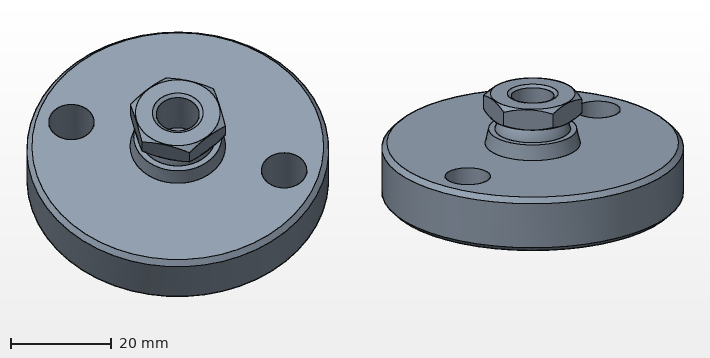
import cadquery as cq
import math

PLATE_RADIUS = 30.0
PLATE_HEIGHT = 11.45
PLATE_CHAMFER = 1.0
MOUNT_HOLE_DIAMETER = 9.0
MOUNT_HOLE_OFFSET = 22.0

COLLAR_BASE_RADIUS = 9.5
COLLAR_TOP_RADIUS = 8.75
COLLAR_TOP_Z = 14.5

BALL_RADIUS = 7.8
BALL_CENTER_Z = 12.5
TOTAL_HEIGHT = 22.0
HEX_HEIGHT = 4.5
HEX_BOTTOM_Z = TOTAL_HEIGHT - HEX_HEIGHT
HEX_ACROSS_FLATS = 17.05
HEX_CORNER_RADIUS = HEX_ACROSS_FLATS / math.sqrt(3)
HEX_FACE_RADIUS = 8.4
HEX_CHAMFER_ANGLE = math.radians(30)

BORE_RADIUS = 4.25
BORE_MOUTH_RADIUS = 5.05
BORE_DEPTH = 10.0
DRILL_HALF_ANGLE = math.radians(59)


def make_ball():
    """Full sphere, used for the stud and for its socket."""
    return cq.Workplane("XY").sphere(BALL_RADIUS).translate((0, 0, BALL_CENTER_Z))


def make_base():
    """Round plate and conical collar with a ball socket and two through holes."""
    plate = cq.Workplane("XY").circle(PLATE_RADIUS).extrude(PLATE_HEIGHT)
    plate = plate.faces("<Z or >Z").edges().chamfer(PLATE_CHAMFER)
    collar = (
        cq.Workplane("XZ")
        .moveTo(0, PLATE_HEIGHT)
        .lineTo(COLLAR_BASE_RADIUS, PLATE_HEIGHT)
        .lineTo(COLLAR_TOP_RADIUS, COLLAR_TOP_Z)
        .lineTo(0, COLLAR_TOP_Z)
        .close()
        .revolve(360, (0, 0), (0, 1))
    )
    mount_holes = (
        cq.Workplane("XY")
        .pushPoints([(-MOUNT_HOLE_OFFSET, 0), (MOUNT_HOLE_OFFSET, 0)])
        .circle(MOUNT_HOLE_DIAMETER / 2)
        .extrude(PLATE_HEIGHT)
    )
    return plate.union(collar).cut(make_ball()).cut(mount_holes)


def make_hex_head():
    """Hexagon whose corners are cut back by a cone at both ends."""
    prism = (
        cq.Workplane("XY", origin=(0, 0, HEX_BOTTOM_Z))
        .polygon(6, 2 * HEX_CORNER_RADIUS)
        .extrude(HEX_HEIGHT)
    )
    chamfer_drop = (HEX_CORNER_RADIUS - HEX_FACE_RADIUS) * math.tan(HEX_CHAMFER_ANGLE)
    envelope = (
        cq.Workplane("XZ")
        .moveTo(0, HEX_BOTTOM_Z)
        .lineTo(HEX_FACE_RADIUS, HEX_BOTTOM_Z)
        .lineTo(HEX_CORNER_RADIUS, HEX_BOTTOM_Z + chamfer_drop)
        .lineTo(HEX_CORNER_RADIUS, TOTAL_HEIGHT - chamfer_drop)
        .lineTo(HEX_FACE_RADIUS, TOTAL_HEIGHT)
        .lineTo(0, TOTAL_HEIGHT)
        .close()
        .revolve(360, (0, 0), (0, 1))
    )
    return prism.intersect(envelope)


def make_bore():
    """Drilled hole with a countersunk mouth and a conical end at the same angle."""
    bore_end_z = TOTAL_HEIGHT - BORE_DEPTH
    tip_z = bore_end_z - BORE_RADIUS / math.tan(DRILL_HALF_ANGLE)
    mouth_depth = (BORE_MOUTH_RADIUS - BORE_RADIUS) / math.tan(DRILL_HALF_ANGLE)
    return (
        cq.Workplane("XZ")
        .moveTo(0, tip_z)
        .lineTo(BORE_RADIUS, bore_end_z)
        .lineTo(BORE_RADIUS, TOTAL_HEIGHT - mouth_depth)
        .lineTo(BORE_MOUTH_RADIUS, TOTAL_HEIGHT)
        .lineTo(0, TOTAL_HEIGHT)
        .close()
        .revolve(360, (0, 0), (0, 1))
    )


def make_stud():
    """Ball and hexagonal head in one piece, bored from the top."""
    return make_ball().union(make_hex_head()).cut(make_bore())


base = make_base()
stud = make_stud()

result = cq.Compound.makeCompound([base.solids().val(), stud.solids().val()])